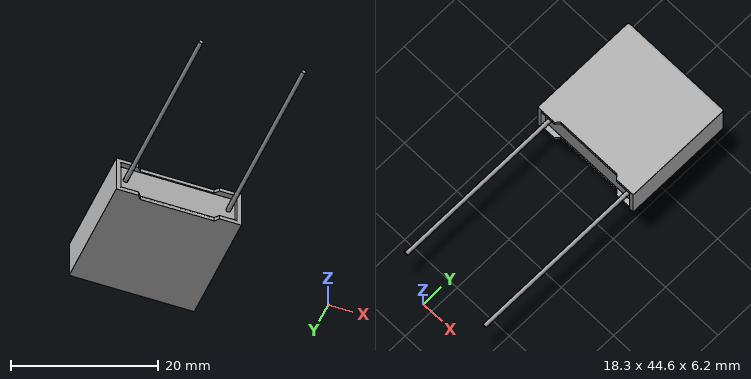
import cadquery as cq

overall_length = 44.6
housing_width = 18.3
housing_length = 17.6
housing_height = 6.2
wall = 0.65
back_fillet = 0.5

foot_width = 3.2
notch_depth = 0.62
notch_slope_run = 0.55

potting_recess = 0.8
lead_diameter = 0.65
lead_pitch = 15.0

potting_width = housing_width - 2 * wall
potting_height = housing_height - 2 * wall
potting_length = housing_length - wall - potting_recess
lead_tip_y = housing_length - overall_length
lead_length = potting_recess - lead_tip_y
lead_positions = (-lead_pitch / 2, lead_pitch / 2)


def make_block(width, length, height, start_y):
    """Block centred on X and Z that runs from start_y toward +Y."""
    return (
        cq.Workplane("XY")
        .box(width, length, height, centered=(True, False, True))
        .translate((0, start_y, 0))
    )


def make_rim_notch():
    """Trapezoid cutter that passes through both broad walls."""
    mouth_half = housing_width / 2 - foot_width
    floor_half = mouth_half - notch_slope_run
    return (
        cq.Workplane("XY")
        .polyline([
            (-mouth_half, 0),
            (mouth_half, 0),
            (floor_half, notch_depth),
            (-floor_half, notch_depth),
        ])
        .close()
        .extrude(housing_height / 2, both=True)
    )


def make_housing():
    """Box with a rounded closed end, an open front and a notched rim."""
    shell = make_block(housing_width, housing_length, housing_height, 0)
    shell = shell.faces(">Y").edges().fillet(back_fillet)
    cavity = make_block(potting_width, housing_length - wall, potting_height, 0)
    return shell.cut(cavity).cut(make_rim_notch())


def make_potting():
    """Fill of the housing cavity, set back from the rim."""
    return make_block(potting_width, potting_length, potting_height, potting_recess)


def make_lead(x):
    """Straight round lead that starts on the potting face and runs toward -Y."""
    return (
        cq.Workplane("XZ", origin=(x, potting_recess, 0))
        .circle(lead_diameter / 2)
        .extrude(lead_length)
    )


housing = make_housing()
potting = make_potting()
leads = [make_lead(x) for x in lead_positions]

result = cq.Compound.makeCompound([
    housing.val(),
    potting.val(),
    *[lead.val() for lead in leads],
])